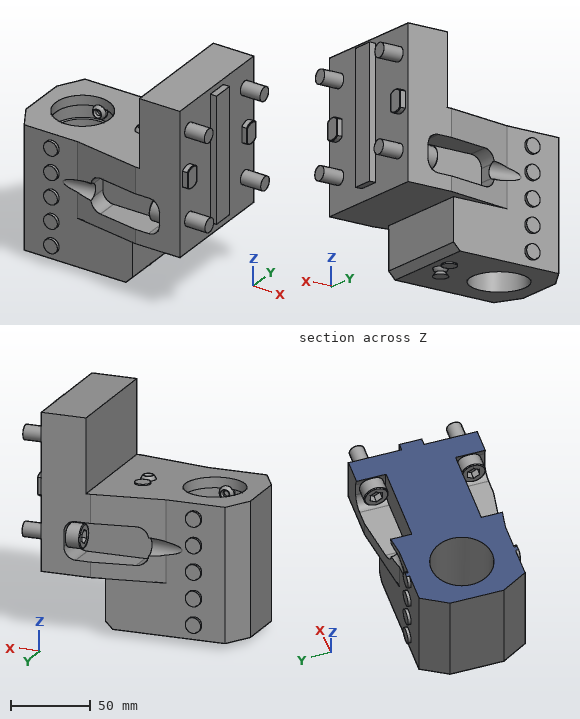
import cadquery as cq
import math


body_height = 90.0
body_width = 70.0
body_front_x = -31.0
body_back_x = 60.0
nose_chamfer_x = 10.0
nose_angle = 60.0
bottom_back_chamfer = 5.0

plate_width = 85.0
plate_bottom_z = 35.0
plate_top_z = 140.0
plate_front_x = 70.0
plate_back_x = 100.3
taper_start_x = 19.0
taper_end_x = 67.0

bore_diameter = 40.0
groove_diameter = 44.0
groove_bottom_z = 73.0
groove_top_z = 83.0

pocket_front_x = 30.0
pocket_back_x = 85.0
pocket_height = 25.5
pocket_corner_radius = 8.0
pocket_floor_y = 23.0
relief_radius = 6.0
relief_tip_x = 8.2
relief_tilt = 10.0

bolt_y = 32.0
bolt_z = 58.0
bolt_diameter = 10.0
bolt_end_x = 115.5
bolt_head_diameter = 16.0
bolt_head_height = 9.6
bolt_head_chamfer = 0.6
hex_key_size = 8.0
hex_key_depth = 5.0
hex_key_turn = 30.0

pin_z = 122.0
pin_end_x = 115.0
key_width = 15.0
key_bottom_z = 44.0
key_top_z = 136.0
key_end_x = 105.0
button_diameter = 15.5
button_y = 34.0
button_outer_y = 39.3
button_z = 90.0
button_end_x = 104.3
button_chamfer = 0.5

plug_diameter = 10.3
plug_height = 2.0
end_plug_height = 0.9
side_plug_count = 5
side_plug_pitch = 17.5
side_plug_lowest_z = 10.0
end_plug_y = 9.5
nozzle_x = 45.0
ball_radius = 5.2
ball_center_depth = 1.5
ball_height = 2.6
nozzle_mouth_diameter = 5.9
nozzle_hole_diameter = 4.0
nozzle_mouth_depth = 1.5
nozzle_hole_depth = 3.5
flare_height = 2.7
flare_diameter = 10.3
bore_nozzle_z = side_plug_lowest_z + (side_plug_count - 1) * side_plug_pitch

overlap = 1.0


def hexagon_across_corners(across_flats):
    return across_flats / math.cos(math.radians(30))


def x_cylinder(diameter, start_x, end_x, y, z):
    """Cylinder along X between two X positions."""
    return (
        cq.Workplane("YZ", origin=(start_x, y, z))
        .circle(diameter / 2)
        .extrude(end_x - start_x)
    )


def make_body():
    half_width = body_width / 2
    nose_half = half_width - nose_chamfer_x * math.tan(math.radians(nose_angle))
    nose_back_x = body_front_x + nose_chamfer_x
    outline = [
        (body_front_x, -nose_half),
        (nose_back_x, -half_width),
        (body_back_x, -half_width),
        (body_back_x, half_width),
        (nose_back_x, half_width),
        (body_front_x, nose_half),
    ]
    body = cq.Workplane("XY").polyline(outline).close().extrude(body_height)
    return body.faces(">X").edges("<Z").chamfer(bottom_back_chamfer)


def make_neck_and_plate():
    outline = [
        (taper_start_x, -body_width / 2),
        (taper_end_x, -plate_width / 2),
        (plate_back_x, -plate_width / 2),
        (plate_back_x, plate_width / 2),
        (taper_end_x, plate_width / 2),
        (taper_start_x, body_width / 2),
    ]
    neck = (
        cq.Workplane("XY", origin=(0, 0, plate_bottom_z))
        .polyline(outline)
        .close()
        .extrude(body_height - plate_bottom_z)
    )
    plate = cq.Workplane("XY").box(
        plate_back_x - plate_front_x,
        plate_width,
        plate_top_z - plate_bottom_z,
        centered=(False, True, False),
    )
    return neck.union(plate.translate((plate_front_x, 0, plate_bottom_z)))


def make_bore():
    bore = cq.Workplane("XY").circle(bore_diameter / 2).extrude(body_height)
    groove = (
        cq.Workplane("XY", origin=(0, 0, groove_bottom_z))
        .circle(groove_diameter / 2)
        .extrude(groove_top_z - groove_bottom_z)
    )
    return bore.union(groove)


def make_side_pocket():
    """Rounded pocket on the -Y side and the tilted relief leading into it."""
    length = pocket_back_x - pocket_front_x
    depth = plate_width / 2 - pocket_floor_y
    pocket = (
        cq.Workplane("XY")
        .box(length, depth, pocket_height)
        .edges("|Y")
        .fillet(pocket_corner_radius)
        .translate((pocket_front_x + length / 2, -pocket_floor_y - depth / 2, bolt_z))
    )
    tilt = math.radians(relief_tilt)
    relief_axis_y = -body_width / 2 - relief_radius / math.cos(tilt)
    relief_length = (pocket_front_x + pocket_corner_radius - relief_tip_x) / math.cos(tilt)
    relief = (
        cq.Workplane("YZ")
        .circle(relief_radius)
        .extrude(2 * relief_length, both=True)
        .intersect(cq.Workplane("XY").box(2 * relief_length, plate_width, pocket_height))
        .rotate((0, 0, 0), (0, 0, 1), relief_tilt)
        .translate((relief_tip_x, relief_axis_y, bolt_z))
    )
    return pocket.union(relief)


def make_bolt():
    """Socket head bolt on the -Y side, seated on the back wall of the pocket."""
    head_front_x = pocket_back_x - bolt_head_height
    head = x_cylinder(bolt_head_diameter, head_front_x, pocket_back_x + overlap, -bolt_y, bolt_z)
    head = (
        head.faces("<X")
        .chamfer(bolt_head_chamfer)
        .faces("<X")
        .workplane(centerOption="CenterOfBoundBox")
        .transformed(rotate=(0, 0, hex_key_turn))
        .polygon(6, hexagon_across_corners(hex_key_size))
        .cutBlind(-hex_key_depth)
    )
    shank = x_cylinder(bolt_diameter, pocket_back_x, bolt_end_x, -bolt_y, bolt_z)
    return head.union(shank)


def make_button():
    """Locating disc on the -Y side with two flats parallel to XZ."""
    disc = x_cylinder(button_diameter, plate_back_x - overlap, button_end_x, -button_y, button_z)
    flats = cq.Workplane("XY").box(
        2 * plate_back_x, 2 * (button_outer_y - button_y), 2 * plate_top_z
    )
    disc = disc.intersect(flats.translate((plate_back_x, -button_y, 0)))
    return disc.faces(">X").chamfer(button_chamfer)


def make_center_key():
    start_x = plate_back_x - overlap
    key = cq.Workplane("XY").box(
        key_end_x - start_x, key_width, key_top_z - key_bottom_z, centered=(False, True, False)
    )
    return key.translate((start_x, 0, key_bottom_z))


def ball_radius_at(height):
    """Radius of the nozzle ball at a height above the nozzle's seat."""
    return math.sqrt(ball_radius**2 - (ball_center_depth + height) ** 2)


def make_ball():
    """Truncated ball standing on z = 0, pointing along +Z."""
    flat_radius = ball_radius_at(ball_height)
    middle = ball_height / 2
    profile = (
        cq.Workplane("XZ")
        .lineTo(ball_radius_at(0), 0)
        .threePointArc((ball_radius_at(middle), middle), (flat_radius, ball_height))
        .lineTo(0, ball_height)
        .close()
    )
    return profile.revolve(360, (0, 0, 0), (0, 1, 0))


def make_flare(narrow_z, wide_z):
    """Cone between the ball's flat radius and the wider flare rim."""
    profile = (
        cq.Workplane("XZ")
        .moveTo(0, narrow_z)
        .lineTo(ball_radius_at(ball_height), narrow_z)
        .lineTo(flare_diameter / 2, wide_z)
        .lineTo(0, wide_z)
        .close()
    )
    return profile.revolve(360, (0, 0, 0), (0, 1, 0))


def make_root(top_z):
    """Cylinder that ties a nozzle into the wall behind it."""
    return (
        cq.Workplane("XY", origin=(0, 0, top_z - overlap))
        .circle(ball_radius_at(0))
        .extrude(overlap)
    )


def make_nozzle_mouth():
    """Countersunk hole in the flat end of the ball, to be cut."""
    return (
        cq.Workplane("XZ")
        .moveTo(0, ball_height)
        .lineTo(nozzle_mouth_diameter / 2, ball_height)
        .lineTo(nozzle_hole_diameter / 2, ball_height - nozzle_mouth_depth)
        .lineTo(nozzle_hole_diameter / 2, ball_height - nozzle_hole_depth)
        .lineTo(0, ball_height - nozzle_hole_depth)
        .close()
        .revolve(360, (0, 0, 0), (0, 1, 0))
    )


def make_top_nozzle():
    nozzle = make_ball().union(make_root(0)).cut(make_nozzle_mouth())
    return nozzle.translate((nozzle_x, 0, body_height))


def make_bottom_nozzle():
    """Ball under the body that flares out again at its end."""
    flare = make_flare(ball_height, ball_height + flare_height)
    nozzle = make_ball().union(make_root(0)).union(flare)
    return nozzle.rotate((0, 0, 0), (1, 0, 0), 180).translate((nozzle_x, 0, 0))


def make_side_plugs():
    """Row of flat plugs on the -Y side, in line with the bore axis."""
    heights = [side_plug_lowest_z + i * side_plug_pitch for i in range(side_plug_count)]
    return (
        cq.Workplane("XZ", origin=(0, -body_width / 2 + overlap, 0))
        .pushPoints([(0, z) for z in heights])
        .circle(plug_diameter / 2)
        .extrude(plug_height + overlap)
    )


def make_end_plug(bottom_z):
    return (
        cq.Workplane("XY", origin=(nozzle_x, end_plug_y, bottom_z))
        .circle(plug_diameter / 2)
        .extrude(end_plug_height + overlap)
    )


def make_bore_nozzle():
    """Nozzle on the -Y wall of the groove: a flare, then a ball aimed at the bore axis."""
    seat_y = -groove_diameter / 2 + flare_height
    nozzle = make_ball().union(make_flare(0, -flare_height)).union(make_root(-flare_height))
    nozzle = nozzle.cut(make_nozzle_mouth())
    return nozzle.rotate((0, 0, 0), (1, 0, 0), -90).translate((0, seat_y, bore_nozzle_z))


def on_both_sides(feature):
    """The feature together with its mirror image across the XZ plane."""
    return feature.union(feature.mirror("XZ"))


result = make_body().union(make_neck_and_plate()).cut(make_bore())
result = result.cut(on_both_sides(make_side_pocket()))

upper_pin = x_cylinder(bolt_diameter, plate_back_x - overlap, pin_end_x, -bolt_y, pin_z)
for side_feature in (make_bolt(), upper_pin, make_button(), make_side_plugs(), make_bore_nozzle()):
    result = result.union(on_both_sides(side_feature))

result = result.union(make_center_key())
result = result.union(make_top_nozzle())
result = result.union(make_bottom_nozzle())
for plug_bottom_z in (body_height - overlap, -end_plug_height):
    result = result.union(make_end_plug(plug_bottom_z))